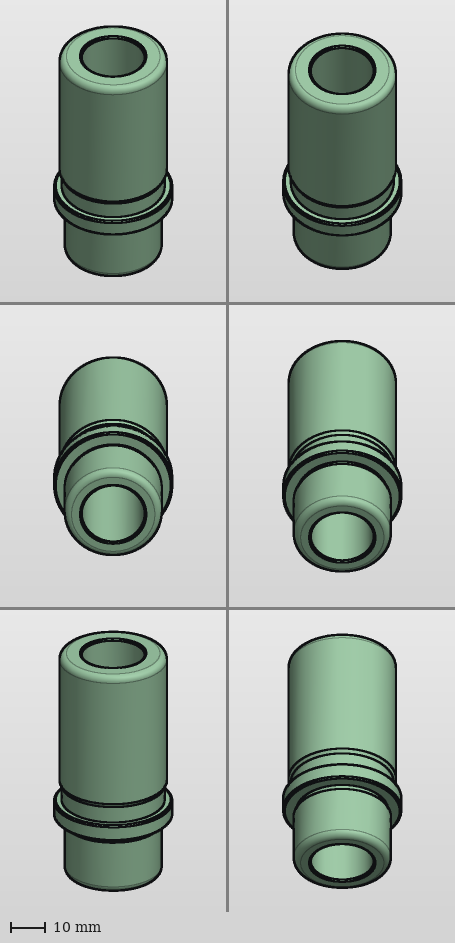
import cadquery as cq
import math

total_height = 70.0
collar_radius = 17.0
body_radius = 15.5
groove_radius = 14.85
spigot_radius = 14.0
neck_radius = 13.3
bore_radius = 9.0

spigot_top = 16.2
collar_bottom = 18.05
collar_top = 23.1
groove_top = 28.0
body_bottom = 29.25

end_round = 2.0
small_chamfer = 0.5

round_inset = end_round * (1 - math.sqrt(0.5))

relief_width = spigot_radius - neck_radius
relief_height = collar_bottom - spigot_top
relief_radius = (relief_width**2 + relief_height**2) / (2 * relief_width)
relief_half_angle = math.atan2(relief_width, relief_height)
relief_middle = (
    neck_radius + relief_radius * (1 - math.cos(relief_half_angle)),
    collar_bottom - relief_radius * math.sin(relief_half_angle),
)

profile = (
    cq.Workplane("XZ")
    .moveTo(bore_radius, small_chamfer)
    .lineTo(bore_radius + small_chamfer, 0)
    .lineTo(spigot_radius - end_round, 0)
    .threePointArc((spigot_radius - round_inset, round_inset), (spigot_radius, end_round))
    .lineTo(spigot_radius, spigot_top)
    .threePointArc(relief_middle, (neck_radius, collar_bottom))
    .lineTo(collar_radius - small_chamfer, collar_bottom)
    .lineTo(collar_radius, collar_bottom + small_chamfer)
    .lineTo(collar_radius, collar_top - small_chamfer)
    .lineTo(collar_radius - small_chamfer, collar_top)
    .lineTo(groove_radius, collar_top)
    .lineTo(groove_radius, groove_top)
    .lineTo(body_radius, body_bottom)
    .lineTo(body_radius, total_height - end_round)
    .threePointArc(
        (body_radius - round_inset, total_height - round_inset),
        (body_radius - end_round, total_height),
    )
    .lineTo(bore_radius + small_chamfer, total_height)
    .lineTo(bore_radius, total_height - small_chamfer)
    .close()
)

result = profile.revolve(360, (0, 0, 0), (0, 1, 0))